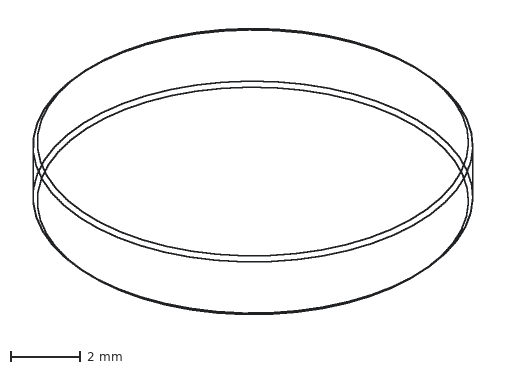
import cadquery as cq
import math

radius = 6.35
height = 3.37
bevel = 0.13
convex_sag = 1.37
concave_sag = 0.37

face_radius = radius - bevel


def sphere_radius(sag):
    """Radius of the sphere whose cap over the lens face has this depth."""
    return (face_radius**2 + sag**2) / (2 * sag)


def cap_point(apex_height, sag):
    """Point on the cap, halfway out from the axis to the face edge."""
    r = face_radius / 2
    sphere = sphere_radius(sag)
    return r, apex_height + sphere - math.sqrt(sphere**2 - r**2)


profile = (
    cq.Workplane("XZ")
    .threePointArc(cap_point(0, convex_sag), (face_radius, convex_sag))
    .lineTo(radius, convex_sag + bevel)
    .lineTo(radius, height - bevel)
    .lineTo(face_radius, height)
    .threePointArc(cap_point(height - concave_sag, concave_sag), (0, height - concave_sag))
    .close()
)

result = profile.revolve(360, (0, 0, 0), (0, 1, 0))